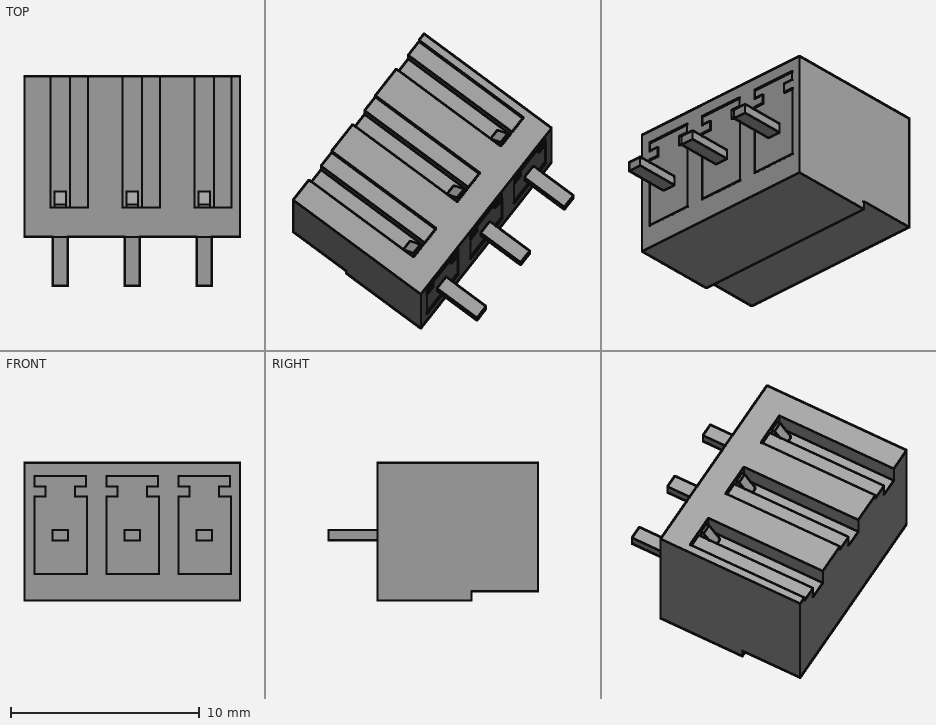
import cadquery as cq

LENGTH = 11.43
HEIGHT = 7.3
TOTAL_DEPTH = 11.1
PIN_REACH = 2.6
HOUSING_DEPTH = TOTAL_DEPTH - PIN_REACH
FOOT_DEPTH = 4.98
FOOT_HEIGHT = 0.49

POLES = 3
PITCH = LENGTH / POLES
POLE_CENTRES = [PITCH * (i - (POLES - 1) / 2) for i in range(POLES)]

RECESS_DEPTH = 0.07
RECESS_BOTTOM = 1.4
RECESS_TOP = 6.58
HEAD_WIDTH = 2.74
WAIST_WIDTH = 1.57
WAIST_BOTTOM = 5.51
WAIST_TOP = 6.05
BODY_EXTRA = 0.03

FRONT_WALL = 1.54
SLOT_WIDTH = 1.04
LEDGE_WIDTH = 0.94
LEDGE_DEPTH = 0.29
SLOT_BELOW_LEDGE = 0.8
SLOT_DEPTH = LEDGE_DEPTH + SLOT_BELOW_LEDGE

RAMP_WIDTH = 0.6
RAMP_FLAT = 0.17
RAMP_LENGTH = 0.85
RAMP_HEIGHT = SLOT_BELOW_LEDGE

PIN_WIDTH = 0.8
PIN_HEIGHT = 0.55
PIN_CENTRE_Z = 3.46


def box(x_start, x_end, y_start, y_end, z_start, z_end):
    """Axis-aligned block between the given limits."""
    return cq.Workplane("XY").box(
        x_end - x_start, y_end - y_start, z_end - z_start, centered=False
    ).translate((x_start, y_start, z_start))


def make_block():
    """Plain housing block with its underside raised behind the foot."""
    profile = [
        (0, 0),
        (FOOT_DEPTH, 0),
        (FOOT_DEPTH, FOOT_HEIGHT),
        (HOUSING_DEPTH, FOOT_HEIGHT),
        (HOUSING_DEPTH, HEIGHT),
        (0, HEIGHT),
    ]
    return cq.Workplane("YZ").polyline(profile).close().extrude(LENGTH / 2, both=True)


def make_recess(x):
    """Key-shaped recess cut from the front face."""
    left = x - HEAD_WIDTH / 2
    right = x + HEAD_WIDTH / 2
    waist_left = x - WAIST_WIDTH / 2
    waist_right = x + WAIST_WIDTH / 2
    outline = [
        (left, RECESS_BOTTOM),
        (right + BODY_EXTRA, RECESS_BOTTOM),
        (right + BODY_EXTRA, WAIST_BOTTOM),
        (waist_right, WAIST_BOTTOM),
        (waist_right, WAIST_TOP),
        (right, WAIST_TOP),
        (right, RECESS_TOP),
        (left, RECESS_TOP),
        (left, WAIST_TOP),
        (waist_left, WAIST_TOP),
        (waist_left, WAIST_BOTTOM),
        (left, WAIST_BOTTOM),
    ]
    return cq.Workplane("XZ").polyline(outline).close().extrude(-RECESS_DEPTH)


def make_groove(x):
    """Deep slot with a shallow ledge beside it on the +X side."""
    left = x - SLOT_WIDTH / 2
    right = x + SLOT_WIDTH / 2
    slot = box(left, right, FRONT_WALL, HOUSING_DEPTH, HEIGHT - SLOT_DEPTH, HEIGHT)
    ledge = box(right, right + LEDGE_WIDTH, FRONT_WALL, HOUSING_DEPTH, HEIGHT - LEDGE_DEPTH, HEIGHT)
    return slot.union(ledge)


def make_ramp(x):
    """Ramp on the slot floor: flat against the front wall, then falling towards the back."""
    floor = HEIGHT - SLOT_DEPTH
    profile = [
        (FRONT_WALL, floor),
        (FRONT_WALL + RAMP_LENGTH, floor),
        (FRONT_WALL + RAMP_FLAT, floor + RAMP_HEIGHT),
        (FRONT_WALL, floor + RAMP_HEIGHT),
    ]
    ramp = cq.Workplane("YZ").polyline(profile).close().extrude(RAMP_WIDTH / 2, both=True)
    return ramp.translate((x, 0, 0))


def make_pin(x):
    """Rectangular pin standing on the floor of its recess."""
    return box(
        x - PIN_WIDTH / 2,
        x + PIN_WIDTH / 2,
        -PIN_REACH,
        RECESS_DEPTH,
        PIN_CENTRE_Z - PIN_HEIGHT / 2,
        PIN_CENTRE_Z + PIN_HEIGHT / 2,
    )


def make_housing():
    """Block with a recess, a groove and a ramp for every pole."""
    housing = make_block()
    for x in POLE_CENTRES:
        housing = housing.cut(make_recess(x)).cut(make_groove(x))
        housing = housing.union(make_ramp(x))
    return housing


housing = make_housing()
pins = [make_pin(x) for x in POLE_CENTRES]

result = cq.Compound.makeCompound([housing.val(), *[pin.val() for pin in pins]])